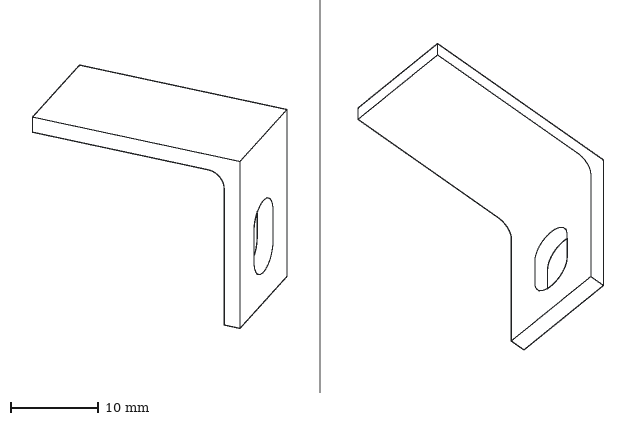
import cadquery as cq

flange_length = 26.0
leg_height = 21.93
width = 13.4
thickness = 2.0
inner_radius = 2.0

slot_width = 5.4
slot_height = 9.4
slot_edge_distance = 4.0

leg_inner_x = flange_length - thickness
flange_bottom_z = leg_height - thickness
slot_center_y = width / 2
slot_center_z = slot_edge_distance + slot_height / 2


def make_angle():
    """L-shaped bracket: a horizontal flange on top of a vertical leg."""
    flange = cq.Workplane("XY").box(flange_length, width, thickness, centered=False)
    flange = flange.translate((0, 0, flange_bottom_z))
    leg = cq.Workplane("XY").box(thickness, width, leg_height, centered=False)
    leg = leg.translate((leg_inner_x, 0, 0))
    inside_corner = cq.selectors.NearestToPointSelector((leg_inner_x, width / 2, flange_bottom_z))
    return flange.union(leg).edges("|Y").edges(inside_corner).fillet(inner_radius)


def make_slot():
    """Vertical slot with round ends, running through the leg along X."""
    return (
        cq.Workplane("YZ", origin=(leg_inner_x, slot_center_y, slot_center_z))
        .slot2D(slot_height, slot_width, angle=90)
        .extrude(thickness)
    )


result = make_angle().cut(make_slot())